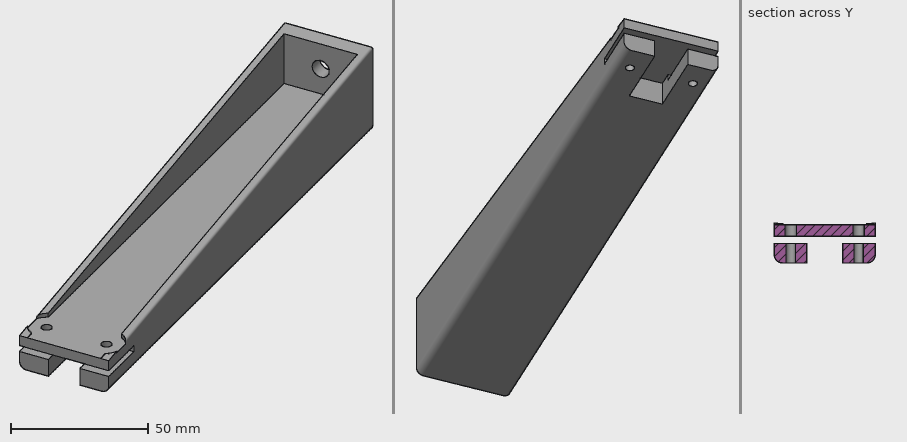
import cadquery as cq

WIDTH = 36.9
LENGTH = 205.0
REAR_HEIGHT = 36.0

BASE_FILLET = 3.0
RIM_FILLET = 1.0
RIM_SEARCH = 5.0

SIDE_WALL = 3.3
REAR_WALL = 6.0
FLOOR_HEIGHT = 14.0

REAR_HOLE_DIAMETER = 7.0
REAR_HOLE_HEIGHT = 24.7

SLOT_DEPTH = 19.5
SLOT_BOTTOM = 7.2
SLOT_TOP = 9.7
CHANNEL_WIDTH = 13.0
CHANNEL_DEPTH = 25.0

LUG_HOLE_DIAMETER = 3.3
FLOOR_HOLE_DIAMETER = 4.0
SCREW_SPACING = 24.7
SCREW_SETBACK = 9.7
HEAD_CLEARANCE_DIAMETER = 14.0


def wedge_body():
    """Solid wedge with rounded long bottom edges."""
    body = (
        cq.Workplane("YZ")
        .polyline([(0, 0), (LENGTH, 0), (LENGTH, REAR_HEIGHT), (0, FLOOR_HEIGHT)])
        .close()
        .extrude(WIDTH / 2, both=True)
    )
    return body.faces("<Z").edges("|Y").fillet(BASE_FILLET)


def round_rim(body):
    """Round the outer top edges that run from the head clearance to the rear end."""
    middle_height = (FLOOR_HEIGHT + REAR_HEIGHT) / 2
    rim_zone = cq.selectors.BoxSelector(
        (-WIDTH, LENGTH / 4, middle_height - RIM_SEARCH),
        (WIDTH, LENGTH * 3 / 4, middle_height + RIM_SEARCH),
    )
    return body.faces("<X or >X").edges(rim_zone).fillet(RIM_FILLET)


def tray_pocket():
    """Space above the floor, open at the top and at the front."""
    return cq.Workplane("XY").box(
        WIDTH - 2 * SIDE_WALL,
        LENGTH - REAR_WALL,
        REAR_HEIGHT,
        centered=(True, False, False),
    ).translate((0, 0, FLOOR_HEIGHT))


def rear_hole():
    """Horizontal hole through the rear wall."""
    return (
        cq.Workplane("XZ", origin=(0, LENGTH, REAR_HOLE_HEIGHT))
        .circle(REAR_HOLE_DIAMETER / 2)
        .extrude(REAR_WALL)
    )


def clamp_cuts():
    """Full-width slot joined to the central channel below it."""
    slot = cq.Workplane("XY").box(
        WIDTH, SLOT_DEPTH, SLOT_TOP - SLOT_BOTTOM, centered=(True, False, False)
    ).translate((0, 0, SLOT_BOTTOM))
    channel = cq.Workplane("XY").box(
        CHANNEL_WIDTH, CHANNEL_DEPTH, SLOT_TOP, centered=(True, False, False)
    )
    return slot.union(channel)


def screw_cylinders(diameter, bottom):
    """Pair of vertical cylinders on the screw axes, rising from the given height."""
    axes = [(-SCREW_SPACING / 2, SCREW_SETBACK), (SCREW_SPACING / 2, SCREW_SETBACK)]
    return (
        cq.Workplane("XY", origin=(0, 0, bottom))
        .pushPoints(axes)
        .circle(diameter / 2)
        .extrude(REAR_HEIGHT)
    )


body = (
    wedge_body()
    .cut(tray_pocket())
    .cut(rear_hole())
    .cut(clamp_cuts())
    .cut(screw_cylinders(LUG_HOLE_DIAMETER, 0))
    .cut(screw_cylinders(FLOOR_HOLE_DIAMETER, SLOT_TOP))
    .cut(screw_cylinders(HEAD_CLEARANCE_DIAMETER, FLOOR_HEIGHT))
)
result = round_rim(body)